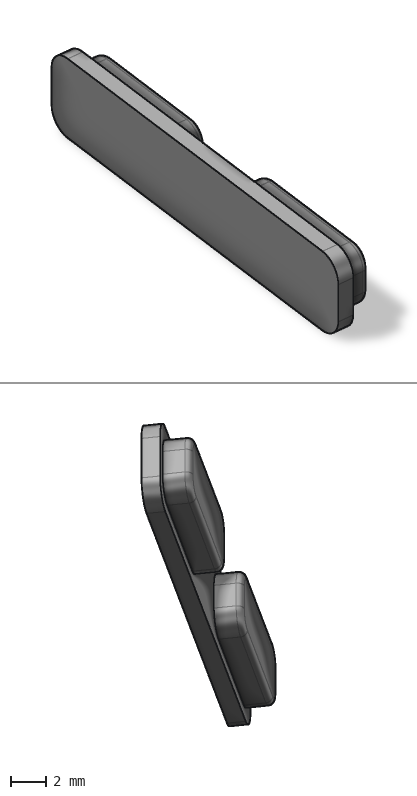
import cadquery as cq

plate_length = 26.5
plate_height = 5.6
plate_thickness = 1.09
plate_corner_radius = 1.48

total_depth = 2.75
pad_margin = 0.75
pad_length = 10.0
pad_height = plate_height - 2 * pad_margin
pad_depth = total_depth - plate_thickness
pad_corner_radius = 1.3
pad_edge_fillet = 0.4
pad_center_x = plate_length / 2 - pad_margin - pad_length / 2


def rounded_block(length, depth, height, corner_radius):
    """Block standing on Y = 0, with its four Y-direction edges rounded."""
    block = cq.Workplane("XY").box(length, depth, height, centered=(True, False, True))
    return block.edges("|Y").fillet(corner_radius)


def pad(center_x):
    """Rounded pad on the plate, with a softened outer rim."""
    block = rounded_block(pad_length, pad_depth, pad_height, pad_corner_radius)
    block = block.faces(">Y").edges().fillet(pad_edge_fillet)
    return block.translate((center_x, plate_thickness, 0))


result = rounded_block(plate_length, plate_thickness, plate_height, plate_corner_radius)
for side in (-1, 1):
    result = result.union(pad(side * pad_center_x))